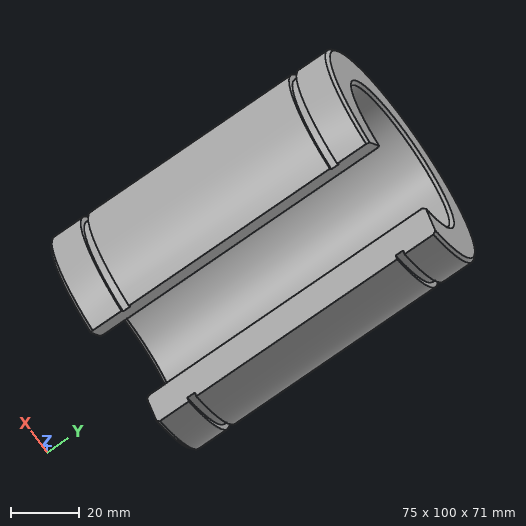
import cadquery as cq
import math

outer_diameter = 75.0
bore_diameter = 50.0
length = 100.0
edge_chamfer = 1.0

groove_diameter = 71.5
groove_width = 2.65
groove_outer_span = 77.3

opening_angle = 53.7


def cylinder(diameter, height, start):
    """Solid cylinder around the Y axis, running from Y = start toward +Y."""
    base = cq.Workplane("XZ", origin=(0, start, 0))
    return base.circle(diameter / 2).extrude(-height)


def make_sleeve():
    """Hollow sleeve with chamfered outer and bore edges, centred on the origin."""
    body = cylinder(outer_diameter, length, -length / 2)
    bore = cylinder(bore_diameter, length, -length / 2)
    return body.cut(bore).faces("<Y or >Y").edges().chamfer(edge_chamfer)


def make_groove(start):
    """Ring of material removed by one retaining ring groove."""
    ring = cylinder(outer_diameter, groove_width, start)
    return ring.cut(cylinder(groove_diameter, groove_width, start))


def make_opening():
    """Wedge with its tip on the axis, spreading past the outer wall toward -Z."""
    wedge_depth = outer_diameter
    half_width = wedge_depth * math.tan(math.radians(opening_angle / 2))
    corners = [(0, 0), (half_width, -wedge_depth), (-half_width, -wedge_depth)]
    base = cq.Workplane("XZ", origin=(0, -length / 2, 0))
    return base.polyline(corners).close().extrude(-length)


groove_starts = (-groove_outer_span / 2, groove_outer_span / 2 - groove_width)

result = make_sleeve()
for groove_start in groove_starts:
    result = result.cut(make_groove(groove_start))
result = result.cut(make_opening())